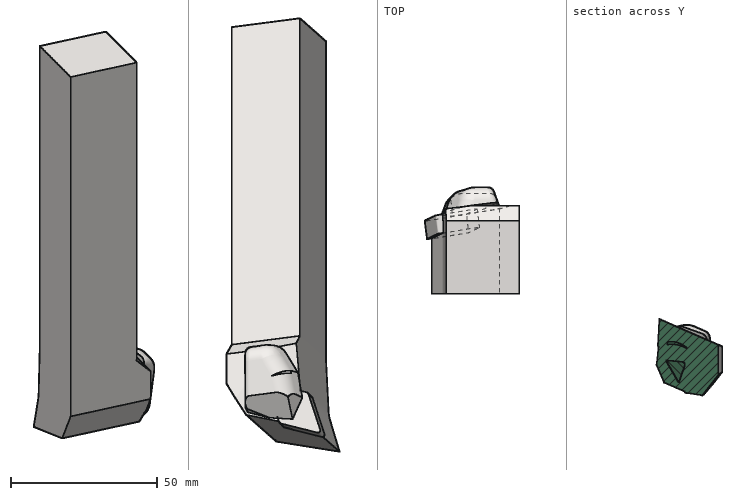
import cadquery as cq
import math


shank_width = 25.0
total_length = 151.4
flare_z = 36.0
flare_corner = (-1.0, 15.1)
head_tip = (-5.0, 1.7)
heel_corner = (18.2, 8.3)
shoulder_z = 20.1
flare_blend_radius = 14.4
head_height = 30.1

seat_y = 25.9
seat_slope_x = 0.13
seat_slope_z = 0.1

insert_tip = (-7.9, -0.42)
insert_side = 15.5
insert_angle = 55.0
insert_lead = 18.5
insert_thickness = 6.4
insert_corner_radius = 0.8

hump_base_y = 26.5
hump_draft = 20.0
hump_right_x = 19.4
hump_outline = [
    (5.1, 34.7), (hump_right_x, 34.7), (hump_right_x, 10.6), heel_corner,
    (6.7, 5.1), (2.1, 5.1), (-1.8, 12.7), (-0.9, 21.8),
]
hump_foot_y = 24.2
hump_nose_z = 13.0
hump_nose_y = 34.4
hump_peak_y = 37.2
hump_back_z = 30.4
hump_profile = [
    (hump_foot_y, 33.3), (hump_peak_y, hump_back_z), (hump_nose_y, hump_nose_z), (hump_foot_y, 3.0),
]
hump_back_round = 5.8
hump_left_round = 6.0
hump_right_round = 2.3

part_span = 136.2
height_margin = 30.3

pick_margin = 1.2

seat_normal = cq.Vector(seat_slope_x, -1, seat_slope_z)


def seat_workplane():
    """Seat plane: local x runs with X, local y with Z, and the normal points down into the head."""
    return cq.Workplane(cq.Plane(
        origin=(0, seat_y, 0),
        xDir=(1, seat_slope_x, 0),
        normal=seat_normal,
    ))


def space_above_seat():
    return seat_workplane().rect(part_span, part_span).extrude(-height_margin)


def make_insert():
    lower_direction = math.radians(insert_lead)
    upper_direction = math.radians(insert_lead + insert_angle)
    lower_x = insert_side * math.cos(lower_direction)
    lower_z = insert_side * math.sin(lower_direction)
    upper_x = insert_side * math.cos(upper_direction)
    upper_z = insert_side * math.sin(upper_direction)
    tip_x, tip_z = insert_tip
    outline = [
        (tip_x, tip_z),
        (tip_x + lower_x, tip_z + lower_z),
        (tip_x + lower_x + upper_x, tip_z + lower_z + upper_z),
        (tip_x + upper_x, tip_z + upper_z),
    ]
    plate = seat_workplane().polyline(outline).close().extrude(insert_thickness)
    corners = cq.selectors.ParallelDirSelector(seat_normal)
    return plate.edges(corners).fillet(insert_corner_radius)


def make_shank_step():
    """Space above the shank, ending in a 45 degree ramp up to the head."""
    ramp_top_y = shank_width + height_margin
    outline = [
        (shank_width, total_length),
        (shank_width, flare_z),
        (ramp_top_y, flare_z - height_margin),
        (ramp_top_y, total_length),
    ]
    return cq.Workplane("YZ").polyline(outline).close().extrude(part_span, both=True)


def make_shank_and_head():
    outline = [
        (0, total_length), (shank_width, total_length), (shank_width, shoulder_z),
        heel_corner, head_tip, flare_corner, (0, flare_z),
    ]
    blank = cq.Workplane("XZ").polyline(outline).close().extrude(-head_height)
    flare_x, flare_corner_z = flare_corner
    flare_edge = cq.selectors.NearestToPointSelector((flare_x, head_height / 2, flare_corner_z))
    blank = blank.edges(flare_edge).fillet(flare_blend_radius)
    return blank.cut(make_shank_step()).cut(space_above_seat())


def make_hump():
    flanks = cq.Workplane("XZ", origin=(0, hump_base_y, 0)).polyline(hump_outline).close()
    flanks = flanks.extrude(hump_base_y - hump_peak_y, taper=hump_draft)
    section = cq.Workplane("YZ").polyline(hump_profile).close().extrude(part_span, both=True)
    section = section.edges("|X").edges(">Y").fillet(hump_back_round)
    hump = flanks.intersect(section)

    middle_x = hump_right_x / 2
    left_limit = middle_x - pick_margin
    right_limit = middle_x + pick_margin
    crown_floor_y = hump_nose_y - pick_margin
    crown_start_z = hump_nose_z + pick_margin
    crown_left = cq.selectors.BoxSelector(
        (-middle_x, crown_floor_y, crown_start_z), (left_limit, hump_peak_y, hump_back_z))
    back_corner = cq.selectors.BoxSelector(
        (0, hump_base_y, hump_back_z), (left_limit, crown_floor_y, flare_z))
    crown_right = cq.selectors.BoxSelector(
        (right_limit, crown_floor_y, crown_start_z), (hump_right_x, hump_peak_y, hump_back_z))
    hump = hump.edges(crown_left + back_corner).fillet(hump_left_round)
    hump = hump.edges(crown_right).fillet(hump_right_round)
    return hump.intersect(space_above_seat())


insert = make_insert()
holder = make_shank_and_head().union(make_hump()).cut(insert)

result = cq.Compound.makeCompound([holder.val(), insert.val()])